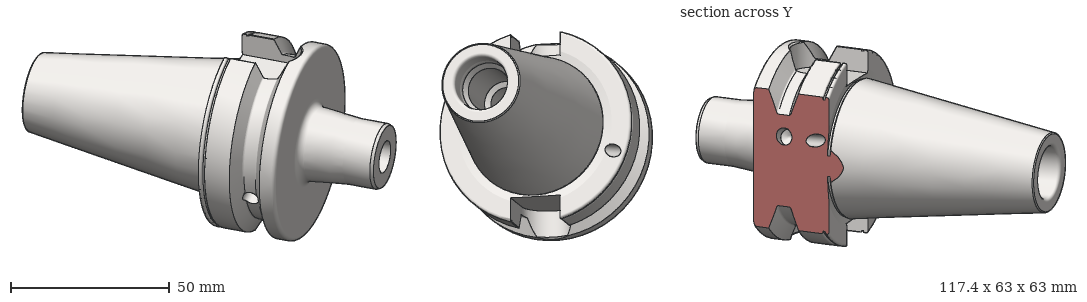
import cadquery as cq
import math

total_length = 117.4
flange_diameter = 63.0

taper_end_x = 65.7
taper_end_radius = 22.3
taper_half_slope = 7 / 48
tail_chamfer = 0.4

relief_start_x = 66.1
relief_end_x = 66.8
relief_radius = 22.0
face_recess_radius = 25.0

arc_inset = 1 - math.sqrt(0.5)

flange_face_x = 66.2
rear_ring_radius = 31.2
rear_ring_end_x = 76.9
face_fillet = 0.8
ring_groove_x = 68.1
ring_groove_floor_width = 0.6
ring_groove_lip_radius = 0.6

v_floor_radius = 26.4
v_flank_angle = math.radians(60)
front_ring_radius = flange_diameter / 2
front_ring_start_x = 87.1
flange_front_x = 92.4
front_ring_fillet = 1.2
v_floor_fillet = 0.6

neck_radius = 11.9
neck_fillet = 2.3
nose_radius = 10.6
nose_start_x = 107.3
nose_chamfer_length = 1.0
nose_chamfer_height = 0.5

through_radius = 5.2
mouth_fillet = 1.0
pilot_radius = 8.5
pilot_depth = 6.7
seat_radius = 8.2
seat_start_depth = 7.6
seat_end_depth = 8.7
thread_radius = 6.9
thread_start_depth = 10.7
thread_depth = 30.5
drill_point_angle = 118
drill_tip_slope = 1 / math.tan(math.radians(drill_point_angle / 2))

slot_half_width = 8.1
slot_floor_height = 22.5
slot_round_centre_x = 80.7
slot_end_chamfer = 0.6
slot_rim_chamfer = 0.2

hole_angle = 20.0
coolant_radius = 2.0
coolant_entry_radius = 27.0
coolant_tilt = math.radians(40)
index_hole_x = 81.8
index_hole_radius = 2.6
index_hole_bottom = 19.6


def make_body():
    """Solid of revolution of the whole outer outline."""
    tail_radius = taper_end_radius - taper_end_x * taper_half_slope
    v_rear_x = rear_ring_end_x + (rear_ring_radius - v_floor_radius) / math.tan(v_flank_angle)
    v_front_x = front_ring_start_x - (front_ring_radius - v_floor_radius) / math.tan(v_flank_angle)

    groove_floor_half = ring_groove_floor_width / 2
    groove_mouth_half = groove_floor_half + ring_groove_lip_radius
    groove_floor_radius = rear_ring_radius - ring_groove_lip_radius
    groove_arc_half = groove_mouth_half - ring_groove_lip_radius * math.sqrt(0.5)
    outline = (
        cq.Workplane("XY")
        .moveTo(0, 0)
        .lineTo(0, tail_radius - tail_chamfer)
        .lineTo(tail_chamfer, tail_radius + tail_chamfer * taper_half_slope)
        .lineTo(taper_end_x, taper_end_radius)
        .lineTo(relief_start_x, relief_radius)
        .lineTo(relief_end_x, relief_radius)
        .lineTo(flange_face_x, face_recess_radius)
        .lineTo(flange_face_x, rear_ring_radius - face_fillet)
        .threePointArc(
            (flange_face_x + face_fillet * arc_inset, rear_ring_radius - face_fillet * arc_inset),
            (flange_face_x + face_fillet, rear_ring_radius),
        )
        .lineTo(ring_groove_x - groove_mouth_half, rear_ring_radius)
        .threePointArc(
            (ring_groove_x - groove_arc_half, rear_ring_radius - ring_groove_lip_radius * arc_inset),
            (ring_groove_x - groove_floor_half, groove_floor_radius),
        )
        .lineTo(ring_groove_x + groove_floor_half, groove_floor_radius)
        .threePointArc(
            (ring_groove_x + groove_arc_half, rear_ring_radius - ring_groove_lip_radius * arc_inset),
            (ring_groove_x + groove_mouth_half, rear_ring_radius),
        )
        .lineTo(rear_ring_end_x, rear_ring_radius)
        .lineTo(v_rear_x, v_floor_radius)
        .lineTo(v_front_x, v_floor_radius)
        .lineTo(front_ring_start_x, front_ring_radius)
        .lineTo(flange_front_x - front_ring_fillet, front_ring_radius)
        .threePointArc(
            (
                flange_front_x - front_ring_fillet * arc_inset,
                front_ring_radius - front_ring_fillet * arc_inset,
            ),
            (flange_front_x, front_ring_radius - front_ring_fillet),
        )
        .lineTo(flange_front_x, neck_radius + neck_fillet)
        .threePointArc(
            (flange_front_x + neck_fillet * arc_inset, neck_radius + neck_fillet * arc_inset),
            (flange_front_x + neck_fillet, neck_radius),
        )
        .lineTo(nose_start_x, nose_radius)
        .lineTo(total_length - nose_chamfer_length, nose_radius)
        .lineTo(total_length, nose_radius - nose_chamfer_height)
        .lineTo(total_length, 0)
        .close()
    )
    body = outline.revolve(360, (0, 0, 0), (1, 0, 0))
    margin = 0.1
    reach = v_floor_radius + margin
    floor_zone = cq.selectors.BoxSelector(
        (v_rear_x - margin, -reach, -reach),
        (v_front_x + margin, reach, reach),
        boundingbox=True,
    )
    return body.edges("%CIRCLE").edges(floor_zone).fillet(v_floor_fillet)


def make_bore():
    """Pull-stud socket narrowing to the through bore."""
    tip_length = (thread_radius - through_radius) * drill_tip_slope
    outline = (
        cq.Workplane("XY")
        .lineTo(0, pilot_radius + mouth_fillet)
        .threePointArc(
            (mouth_fillet * arc_inset, pilot_radius + mouth_fillet * arc_inset),
            (mouth_fillet, pilot_radius),
        )
        .lineTo(pilot_depth, pilot_radius)
        .lineTo(seat_start_depth, seat_radius)
        .lineTo(seat_end_depth, seat_radius)
        .lineTo(thread_start_depth, thread_radius)
        .lineTo(thread_depth, thread_radius)
        .lineTo(thread_depth + tip_length, through_radius)
        .lineTo(total_length, through_radius)
        .lineTo(total_length, 0)
        .close()
    )
    return outline.revolve(360, (0, 0, 0), (1, 0, 0))


def make_drive_slot():
    """Slot open toward the taper, round at its front end, with a bevelled rim."""
    height = front_ring_radius - slot_floor_height
    slot_rear = taper_end_x - slot_round_centre_x
    slot = (
        cq.Workplane("XY", origin=(slot_round_centre_x, 0, slot_floor_height))
        .moveTo(slot_rear, -slot_half_width)
        .lineTo(0, -slot_half_width)
        .threePointArc((slot_half_width, 0), (0, slot_half_width))
        .lineTo(slot_rear, slot_half_width)
        .close()
        .extrude(height)
    )
    round_bevel = cq.Workplane(
        cq.Solid.makeCone(
            slot_half_width,
            slot_half_width + slot_end_chamfer,
            slot_end_chamfer,
            pnt=cq.Vector(slot_round_centre_x, 0, front_ring_radius - slot_end_chamfer),
        )
    )
    rim_height = math.sqrt(rear_ring_radius**2 - slot_half_width**2)
    rim_bevel = (
        cq.Workplane("YZ", origin=(taper_end_x, 0, 0))
        .moveTo(0, rim_height - slot_rim_chamfer)
        .lineTo(slot_half_width, rim_height - slot_rim_chamfer)
        .lineTo(slot_half_width + 2 * slot_rim_chamfer, rim_height + slot_rim_chamfer)
        .lineTo(0, rim_height + slot_rim_chamfer)
        .close()
        .mirrorY()
        .extrude(rear_ring_end_x - taper_end_x)
    )
    return slot.union(round_bevel).union(rim_bevel)


def make_coolant_hole():
    """Slanted hole from the flange face down into the central bore."""
    length = coolant_entry_radius / math.sin(coolant_tilt)
    overrun = 2 * coolant_radius
    direction = cq.Vector(math.cos(coolant_tilt), math.sin(coolant_tilt), 0)
    entry = cq.Vector(flange_face_x, -coolant_entry_radius, 0)
    return cq.Workplane(
        cq.Solid.makeCylinder(coolant_radius, length + overrun, entry - direction * overrun, direction)
    )


def make_index_hole():
    """Blind radial hole with a drill tip in the floor of the V groove."""
    tip_length = index_hole_radius * drill_tip_slope
    return (
        cq.Workplane("XY", origin=(index_hole_x, 0, 0))
        .moveTo(0, -front_ring_radius)
        .lineTo(index_hole_radius, -front_ring_radius)
        .lineTo(index_hole_radius, -index_hole_bottom)
        .lineTo(0, -index_hole_bottom + tip_length)
        .close()
        .revolve(360, (0, 0, 0), (0, 1, 0))
    )


def turned(shape, angle):
    """Shape turned about the part axis."""
    return shape.rotate((0, 0, 0), (1, 0, 0), angle)


result = make_body().cut(make_bore())
for half_turn in (0, 180):
    result = result.cut(turned(make_drive_slot(), half_turn))
    result = result.cut(turned(make_coolant_hole(), hole_angle + half_turn))
    result = result.cut(turned(make_index_hole(), hole_angle + half_turn))